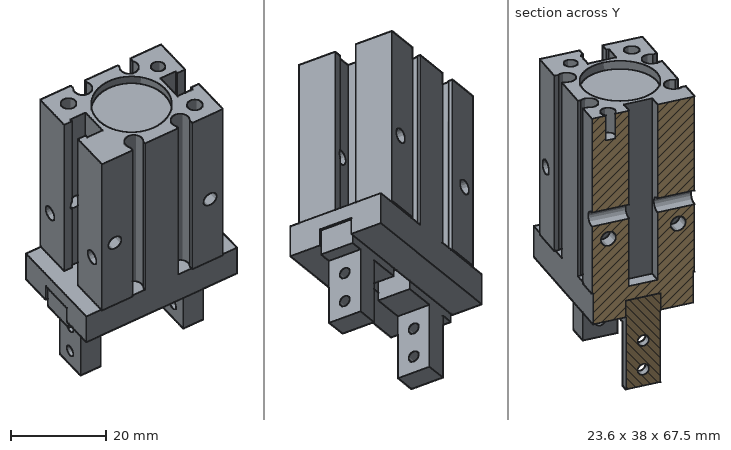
import cadquery as cq


base_length = 38.0
base_width = 23.0
base_height = 7.5
body_length = 30.5
body_height = 42.5
corner_width = 23.6
waist_length = 15.0
corner_length = (body_length - waist_length) / 2
base_top_z = -body_height
base_bottom_z = base_top_z - base_height

piston_recess_diameter = 17.0
piston_recess_depth = 2.0

t_neck_width = 5.2
t_neck_depth = 2.0
t_head_width = 6.5
t_slot_depth = 5.8

groove_diameter = 4.0
groove_mouth_width = 3.3
groove_x = 9.7
groove_mouth_outer_y = waist_length / 2
groove_y = groove_mouth_outer_y - groove_mouth_width / 2

hole_diameter = 3.3
blind_hole_depth = 6.0
cross_hole_y = 12.0
cross_hole_z = -24.5
port_x = 8.0
port_z = -30.0
top_hole_points = [(7.5, 11.0), (-7.5, -10.9)]
locating_hole_diameter = 3.0
locating_hole_point = (-6.5, 11.0)

finger_width = 8.0
slide_outer_y = 18.5
slide_inner_y = 3.0
slide_height = 6.0
guide_slot_depth = 4.0
jaw_thickness = 5.1
jaw_outer_y = 15.5
jaw_length = 15.5
jaw_hole_diameter = 2.5
jaw_hole_spacing = 7.0
jaw_hole_to_tip = 4.0
slide_top_z = base_bottom_z + guide_slot_depth
slide_bottom_z = slide_top_z - slide_height
jaw_tip_z = slide_bottom_z - jaw_length

sides = (-1, 1)


def block(width, length, height, center_y, bottom_z):
    """Box centred on X = 0 and on the given Y, standing on the given Z."""
    return cq.Workplane("XY").box(width, length, height, centered=(True, True, False)).translate(
        (0, center_y, bottom_z)
    )


def t_slot(side):
    """T-shaped channel at one Y end, running the full height of the body."""
    head_depth = t_slot_depth - t_neck_depth
    neck_y = side * (body_length - t_neck_depth) / 2
    head_y = side * (body_length / 2 - t_neck_depth - head_depth / 2)
    neck = block(t_neck_width, t_neck_depth, body_height, neck_y, base_top_z)
    head = block(t_head_width, head_depth, body_height, head_y, base_top_z)
    return neck.union(head)


def sensor_groove(side_x, side_y):
    """Round channel with a narrower straight mouth through the body side."""
    mouth_depth = corner_width / 2 - groove_x
    mouth_x = side_x * (groove_x + mouth_depth / 2)
    channel = (
        cq.Workplane("XY", origin=(0, 0, base_top_z))
        .center(side_x * groove_x, side_y * groove_y)
        .circle(groove_diameter / 2)
        .extrude(body_height)
    )
    mouth = block(mouth_depth, groove_mouth_width, body_height, side_y * groove_y, base_top_z)
    return channel.union(mouth.translate((mouth_x, 0, 0)))


def top_holes(diameter, points):
    """Blind holes drilled down from the top face."""
    return cq.Workplane("XY").pushPoints(points).circle(diameter / 2).extrude(-blind_hole_depth)


def cross_holes():
    """Mounting holes through the full width of the body, parallel to X."""
    points = [(side * cross_hole_y, cross_hole_z) for side in sides]
    return (
        cq.Workplane("YZ")
        .pushPoints(points)
        .circle(hole_diameter / 2)
        .extrude(corner_width / 2, both=True)
    )


def port_holes():
    """Blind ports drilled into the -Y face of the body."""
    points = [(side * port_x, port_z) for side in sides]
    return (
        cq.Workplane("XZ", origin=(0, -body_length / 2, 0))
        .pushPoints(points)
        .circle(hole_diameter / 2)
        .extrude(-blind_hole_depth)
    )


def make_housing():
    """Body with slightly wider end blocks, standing on the slotted guide base."""
    solid = block(base_width, base_length, base_height, 0, base_bottom_z)
    solid = solid.union(block(base_width, body_length, body_height, 0, base_top_z))
    for side in sides:
        corner_y = side * (waist_length + corner_length) / 2
        solid = solid.union(block(corner_width, corner_length, body_height, corner_y, base_top_z))

    for side in sides:
        solid = solid.cut(t_slot(side))
        for side_y in sides:
            solid = solid.cut(sensor_groove(side, side_y))

    solid = solid.cut(cq.Workplane("XY").circle(piston_recess_diameter / 2).extrude(-piston_recess_depth))
    solid = solid.cut(top_holes(hole_diameter, top_hole_points))
    solid = solid.cut(top_holes(locating_hole_diameter, [locating_hole_point]))
    solid = solid.cut(cross_holes())
    solid = solid.cut(port_holes())

    return solid.cut(block(finger_width, base_length, guide_slot_depth, 0, base_bottom_z))


def make_finger(side):
    """Slide and jaw at one Y end, with two tooling holes through the jaw."""
    slide_length = slide_outer_y - slide_inner_y
    slide_y = side * (slide_outer_y + slide_inner_y) / 2
    jaw_y = side * (jaw_outer_y - jaw_thickness / 2)
    slide = block(finger_width, slide_length, slide_height, slide_y, slide_bottom_z)
    jaw = block(finger_width, jaw_thickness, jaw_length, jaw_y, jaw_tip_z)

    lower_hole_z = jaw_tip_z + jaw_hole_to_tip
    holes = (
        cq.Workplane("XZ", origin=(0, jaw_y, 0))
        .pushPoints([(0, lower_hole_z), (0, lower_hole_z + jaw_hole_spacing)])
        .circle(jaw_hole_diameter / 2)
        .extrude(jaw_thickness / 2, both=True)
    )
    return slide.union(jaw).cut(holes)


housing = make_housing()
fingers = [make_finger(side) for side in sides]

result = cq.Compound.makeCompound([housing.val(), *[finger.val() for finger in fingers]])